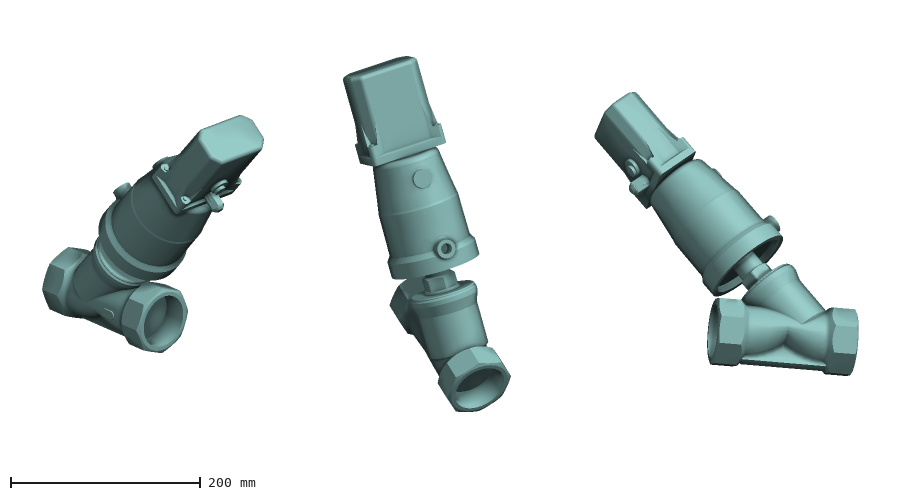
import cadquery as cq
import math

branch_angle = 50.0
branch_foot_x = -29.5

body_length = 150.0
end_flats = 69.0
end_sides = 8
end_face_diameter = 65.2
end_face_chamfer = 2.2
end_hex_length = 25.0
pipe_bore = 56.66
pipe_bore_depth = 26.0
neck_radius = 31.6
pipe_radius = 30.0
saddle_height = 12.8
saddle_half_length = 45.0
saddle_stations = 5
web_depth = 33.2
web_thickness = 12.0
web_fillet = 4.0
pad_center_x = 21.5
pad_length = 18.5
pad_height = 10.0
pad_face_y = 31.0
pad_fillet = 0.5
branch_radius = 32.0
branch_start = 11.0
branch_foot = 8.0
branch_foot_radius = 28.5
collar_diameter = 72.0
collar_taper_start = 56.0
collar_start = 68.0
collar_chamfer = 2.0
collar_top = 75.0

bonnet_flange_diameter = 69.2
bonnet_flange_top = 77.0
bonnet_flange_chamfer = 1.0
bonnet_ring_diameter = 40.0
nut_flats = 32.0
nut_rounding_diameter = 36.1
nut_bottom = 80.0
nut_chamfer = 2.4
nut_top = 95.0
stem_diameter = 28.0

rim_diameter = 95.86
rim_bottom = 104.2
rim_top = 121.0
shell_bottom_radius = 43.9
shell_top_radius = 43.5
shell_bottom = 127.0
shell_top = 173.0
step_top = 175.5
step_radius = 42.8
cap_radius = 36.3
cap_fillet = 6.9
cap_shoulder = 7.0
housing_top = 227.2
recess_diameter = 82.1
recess_depth = 7.8
port_diameter = 20.0
lower_port_height = 126.5
lower_port_reach = 55.2
lower_port_fillet = 3.0
port_bore = 11.45
port_bore_mouth = 12.5
port_bore_depth = 14.0
upper_port_fillet = 1.5
upper_port_height = 203.6
upper_port_reach = 40.6
head_neck_diameter = 40.0

head_offset = 3.45
head_bottom = 228.6
head_top = 324.2
base_depth = 51.0
base_width = 84.5
base_corner_radius = 4.5
base_top = 236.3
post_top = 249.5
flare_top = 275.0
cover_depth = 45.2
cover_width = 78.0
cover_chamfer_depth = 10.3
cover_chamfer_width = 9.9
cover_edge_fillet = 5.0
cover_top_fillet = 4.5
panel_half_depth = 9.8
panel_half_width = 26.8
ledge_top = 238.3
notch_half_depth = 16.0
notch_half_width = 32.0
screw_diameter = 5.0
screw_height = 1.5
screw_inset_depth = 6.0
screw_inset_width = 5.2
gland_height = 243.2
gland_flats = 13.6
gland_collar_diameter = 14.0
gland_collar_reach = 34.2
gland_nut_reach = 43.0
gland_cap_diameter = 13.0
gland_reach = 46.5
gland_chamfer = 2.5
plug_height = 263.5
plug_diameter = 20.0
plug_reach = 29.8
knob_height = 261.0
knob_diameter = 12.5
knob_reach = 33.0

lean = math.radians(branch_angle)
branch_frame = cq.Location(
    cq.Plane(
        origin=(branch_foot_x, 0, 0),
        xDir=(math.sin(lean), 0, -math.cos(lean)),
        normal=(math.cos(lean), 0, math.sin(lean)),
    )
)


def on_branch(shape):
    """Carry a shape built around local Z onto the leaning branch axis."""
    return cq.Workplane(shape.val().moved(branch_frame))


def disc(diameter, bottom, top):
    return cq.Workplane("XY").workplane(offset=bottom).circle(diameter / 2).extrude(top - bottom)


def turned(points):
    """Revolve an (r, z) outline about local Z."""
    return cq.Workplane("XZ").polyline(points).close().revolve(360, (0, 0, 0), (0, 1, 0))


def across_corners(flats, sides):
    return flats / math.cos(math.pi / sides)


def pipe_end():
    """Octagonal end on +X with its chamfers, and the neck behind it."""
    corner = across_corners(end_flats, end_sides) / 2
    end_x = body_length / 2
    face_radius = end_face_diameter / 2
    shoulder_x = end_x - end_hex_length
    neck_x = shoulder_x - (corner - neck_radius)
    cone_angle = math.pi / 4
    rise = neck_radius - pipe_radius
    run = rise / math.tan(cone_angle / 2)
    pipe_x = neck_x - run
    sagitta = math.hypot(run, rise) / 2 * math.tan(cone_angle / 4)
    octagon = cq.Workplane("YZ").polygon(end_sides, 2 * corner).extrude(end_x)
    envelope = (
        cq.Workplane("XY")
        .moveTo(pipe_x, 0)
        .lineTo(pipe_x, pipe_radius)
        .sagittaArc((neck_x, neck_radius), -sagitta)
        .lineTo(shoulder_x, corner)
        .lineTo(end_x - end_face_chamfer, corner)
        .lineTo(end_x, face_radius)
        .lineTo(end_x, 0)
        .close()
        .revolve(360, (0, 0, 0), (1, 0, 0))
    )
    return octagon.intersect(envelope)


def underside(x_sign):
    """Lower half of the pipe: half ellipses whose depth falls along a parabola to mid length."""
    wires = []
    for station in range(saddle_stations):
        fraction = station / (saddle_stations - 1)
        x = x_sign * saddle_half_length * fraction
        depth = pipe_radius - (pipe_radius - saddle_height) * (1 - fraction) ** 2
        bow = cq.Edge.makeEllipse(pipe_radius, depth, (x, 0, 0), (1, 0, 0), (0, 1, 0), 180, 360)
        chord = cq.Edge.makeLine(bow.endPoint(), bow.startPoint())
        wires.append(cq.Wire.assembleEdges([bow, chord]))
    return cq.Workplane(cq.Solid.makeLoft(wires))


def make_valve_body():
    end = pipe_end()
    inner_length = body_length - 2 * end_hex_length
    upper = (
        cq.Workplane("YZ")
        .workplane(offset=-inner_length / 2)
        .moveTo(-pipe_radius, 0)
        .threePointArc((0, pipe_radius), (pipe_radius, 0))
        .close()
        .extrude(inner_length)
    )
    web = cq.Workplane("XY").box(2 * saddle_half_length, web_thickness, web_depth)
    lower = underside(1).union(underside(-1)).union(web.translate((0, 0, -web_depth / 2)))
    seams = cq.selectors.BoxSelector(
        (-saddle_half_length - 1, -web_thickness / 2 - 1, -pipe_radius),
        (saddle_half_length + 1, web_thickness / 2 + 1, -saddle_height / 2),
    )
    lower = lower.edges("%BSPLINE").edges(seams).fillet(web_fillet)
    branch = turned(
        [
            (0, branch_foot),
            (branch_foot_radius, branch_foot),
            (branch_radius, branch_start),
            (branch_radius, collar_taper_start),
            (collar_diameter / 2, collar_start),
            (collar_diameter / 2, collar_top - collar_chamfer),
            (collar_diameter / 2 - collar_chamfer, collar_top),
            (0, collar_top),
        ]
    )
    pad = (
        cq.Workplane("XZ")
        .center(pad_center_x, 0)
        .slot2D(pad_length, pad_height)
        .extrude(pad_face_y)
        .faces("<Y")
        .edges()
        .fillet(pad_fillet)
    )
    body = upper.union(lower).union(pad).union(on_branch(branch))
    body = body.union(end).union(end.mirror("YZ"))
    for side in (-1, 1):
        bore = (
            cq.Workplane("YZ")
            .workplane(offset=side * body_length / 2)
            .circle(pipe_bore / 2)
            .extrude(-side * pipe_bore_depth)
        )
        body = body.cut(bore)
    return body


def make_bonnet():
    rounding_radius = nut_rounding_diameter / 2
    flange = disc(bonnet_flange_diameter, collar_top, bonnet_flange_top)
    flange = flange.faces(">Z").edges().chamfer(bonnet_flange_chamfer)
    ring = turned(
        [
            (0, bonnet_flange_top),
            (bonnet_ring_diameter / 2, bonnet_flange_top),
            (rounding_radius, nut_bottom),
            (0, nut_bottom),
        ]
    )
    nut = cq.Workplane("XY").workplane(offset=nut_bottom).polygon(6, across_corners(nut_flats, 6))
    nut = nut.extrude(nut_top - nut_bottom)
    nut_envelope = turned(
        [
            (0, nut_bottom),
            (rounding_radius, nut_bottom),
            (rounding_radius, nut_top - nut_chamfer),
            (stem_diameter / 2, nut_top),
            (0, nut_top),
        ]
    )
    stem = disc(stem_diameter, nut_top, rim_bottom + recess_depth)
    return on_branch(flange.union(ring).union(nut.intersect(nut_envelope)).union(stem))


def with_port(shell, height, reach, fillet):
    """Add a round boss pointing along local -X, with a fillet around its foot."""
    radius = port_diameter / 2
    boss = cq.Workplane("YZ").center(0, height).circle(radius).extrude(-reach)
    foot = cq.selectors.BoxSelector(
        (-reach + 0.1, -radius - 0.1, height - radius - 0.1),
        (-cap_radius, radius + 0.1, height + radius + 0.1),
        boundingbox=True,
    )
    return shell.union(boss).edges(foot).fillet(fillet)


def make_actuator():
    rim_radius = rim_diameter / 2
    shell = turned(
        [
            (0, rim_bottom),
            (rim_radius, rim_bottom),
            (rim_radius, rim_top),
            (shell_bottom_radius, shell_bottom),
            (shell_top_radius, shell_top),
            (step_radius, step_top),
            (cap_radius, housing_top - cap_shoulder),
            (cap_radius, housing_top),
            (0, housing_top),
        ]
    )
    shell = shell.faces(">Z").edges().fillet(cap_fillet)
    body = with_port(shell, lower_port_height, lower_port_reach, lower_port_fillet)
    body = with_port(body, upper_port_height, upper_port_reach, upper_port_fillet)
    recess = disc(recess_diameter, rim_bottom, rim_bottom + recess_depth)
    neck = disc(head_neck_diameter, housing_top, head_bottom)
    body = body.union(neck).cut(recess)
    bore = (
        cq.Workplane("YZ")
        .workplane(offset=-lower_port_reach)
        .center(0, lower_port_height)
        .circle(port_bore / 2)
        .extrude(port_bore_depth)
    )
    mouth_step = (port_bore_mouth - port_bore) / 2
    mouth = cq.Workplane(
        cq.Solid.makeCone(
            port_bore_mouth / 2,
            port_bore / 2,
            mouth_step,
            cq.Vector(-lower_port_reach, 0, lower_port_height),
            cq.Vector(1, 0, 0),
        )
    )
    return on_branch(body.cut(bore).cut(mouth))


def cover():
    half_d = cover_depth / 2
    half_w = cover_width / 2
    flat_d = half_d - cover_chamfer_depth
    flat_w = half_w - cover_chamfer_width
    outline = [
        (half_d, -flat_w), (half_d, flat_w), (flat_d, half_w), (-flat_d, half_w),
        (-half_d, flat_w), (-half_d, -flat_w), (-flat_d, -half_w), (flat_d, -half_w),
    ]
    block = cq.Workplane("XY").workplane(offset=head_bottom).polyline(outline).close()
    block = block.extrude(head_top - head_bottom)
    block = block.edges("|Z").fillet(cover_edge_fillet)
    return block.faces(">Z").edges().fillet(cover_top_fillet)


def base_block(bottom, top):
    block = cq.Workplane("XY").workplane(offset=bottom).rect(base_depth, base_width)
    return block.extrude(top - bottom).edges("|Z").fillet(base_corner_radius)


def skirt():
    """Foot of the cover: four corner posts flaring out from the flat faces, notched above the screws."""
    cover_d = cover_depth / 2
    cover_w = cover_width / 2
    post_d = base_depth / 2
    post_w = base_width / 2
    corner = [
        (cover_d, panel_half_width),
        (post_d, post_w - base_corner_radius),
        (post_d, post_w),
        (post_d - base_corner_radius, post_w),
        (panel_half_depth, cover_w),
    ]
    mirrored = [(-x, y) for x, y in reversed(corner)]
    far_side = [(-x, -y) for x, y in corner + mirrored]
    posts = cq.Workplane("XY").workplane(offset=base_top).polyline(corner + mirrored + far_side).close()
    posts = posts.extrude(flare_top - base_top).intersect(base_block(base_top, flare_top))
    for side_d in (-1, 1):
        for side_w in (-1, 1):
            outer = (side_d * base_depth, side_w * base_width)
            low = (side_d * notch_half_depth, side_w * notch_half_width)
            high = (side_d * panel_half_depth, side_w * panel_half_width)
            wires = []
            for inner, height in ((low, post_top), (high, flare_top)):
                corners = [inner, (outer[0], inner[1]), outer, (inner[0], outer[1])]
                points = [cq.Vector(x, y, height) for x, y in corners]
                wires.append(cq.Wire.makePolygon(points, close=True))
            posts = posts.cut(cq.Workplane(cq.Solid.makeLoft(wires, True)))
    ledge = (
        cq.Workplane("XY")
        .workplane(offset=base_top)
        .rect(base_depth, base_width)
        .workplane(offset=ledge_top - base_top)
        .rect(cover_depth, cover_width)
        .loft(ruled=True)
        .intersect(base_block(base_top, ledge_top))
    )
    return posts.union(ledge)


def make_control_head():
    head = base_block(head_bottom, base_top).union(skirt()).union(cover())

    screws = (
        cq.Workplane("XY")
        .workplane(offset=post_top)
        .rect(base_depth - 2 * screw_inset_depth, base_width - 2 * screw_inset_width, forConstruction=True)
        .vertices()
        .circle(screw_diameter / 2)
        .extrude(screw_height)
    )
    head = head.union(screws).translate((head_offset, 0, 0))
    side = cq.Workplane("YZ").workplane(offset=head_offset)
    gland_collar = side.center(0, gland_height).circle(gland_collar_diameter / 2)
    gland_collar = gland_collar.extrude(gland_collar_reach - head_offset)
    gland_nut = side.center(0, gland_height).polygon(6, across_corners(gland_flats, 6))
    gland_nut = gland_nut.extrude(gland_nut_reach - head_offset)
    gland_cap = side.center(0, gland_height).circle(gland_cap_diameter / 2)
    gland_cap = gland_cap.extrude(gland_reach - head_offset).faces(">X").chamfer(gland_chamfer)
    plug = side.center(0, plug_height).circle(plug_diameter / 2).extrude(plug_reach - head_offset)
    knob = side.center(0, knob_height).circle(knob_diameter / 2).extrude(knob_reach - head_offset)
    for fitting in (gland_collar, gland_nut, gland_cap, plug, knob):
        head = head.union(fitting)
    return on_branch(head)


valve_body = make_valve_body()
bonnet = make_bonnet()
actuator = make_actuator()
control_head = make_control_head()

result = cq.Compound.makeCompound(
    [valve_body.val(), bonnet.val(), actuator.val(), control_head.val()]
)